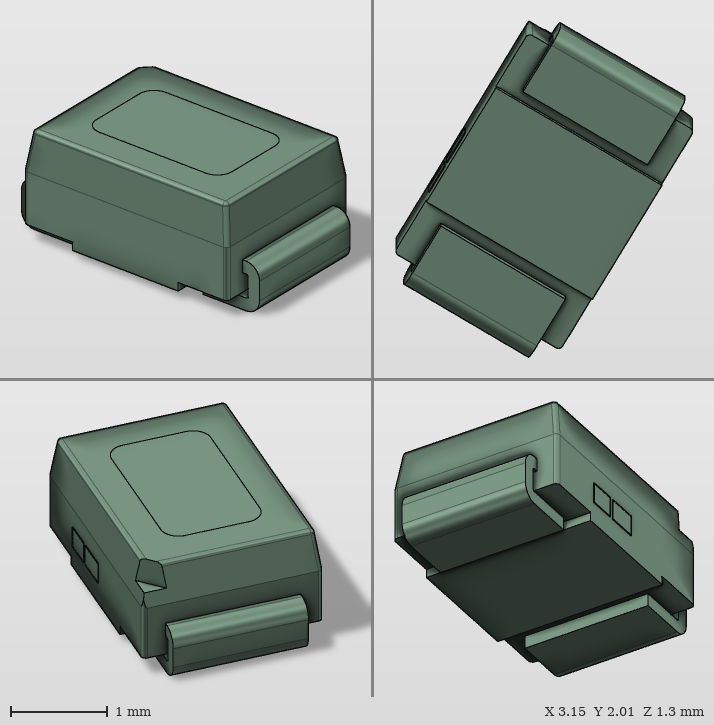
import cadquery as cq

BODY_LENGTH = 2.7
BODY_WIDTH = 2.0
BODY_BOTTOM = 0.202
BODY_TOP = 1.3
TAPER_START = 0.822
TAPER_ANGLE = 8.0
EDGE_RADIUS = 0.05

STANDOFF_LENGTH = 1.4
STANDOFF_BOTTOM = 0.1

NOTCH_LEG = 0.3
NOTCH_FLOOR = 1.002

PAD_SPANS = [(-0.088, 0.277), (0.325, 0.643)]
PAD_BOTTOM = 0.36
PAD_TOP = 0.6
PAD_HEIGHT = 0.01

LENS_LENGTH = 1.795
LENS_WIDTH = 1.1
LENS_CORNER_RADIUS = 0.195

LEAD_SPAN = 3.15
LEAD_WIDTH = 1.5
LEAD_THICKNESS = 0.15
LEAD_TOP = 0.585
LEAD_FOOT = 0.75
LEAD_INNER_RADIUS = 0.025
LEAD_OUTER_RADIUS = LEAD_INNER_RADIUS + LEAD_THICKNESS


def make_upright_block():
    """Straight-sided block of full body height with rounded vertical edges."""
    return (
        cq.Workplane("XY", origin=(0, 0, BODY_BOTTOM))
        .rect(BODY_LENGTH, BODY_WIDTH)
        .extrude(BODY_TOP - BODY_BOTTOM)
        .edges("|Z")
        .fillet(EDGE_RADIUS)
    )


def make_tapered_envelope():
    """Sharp lower block with a tapered top; every top edge but the notched corner is rounded."""
    lower = (
        cq.Workplane("XY", origin=(0, 0, BODY_BOTTOM))
        .rect(BODY_LENGTH, BODY_WIDTH)
        .extrude(TAPER_START - BODY_BOTTOM)
    )
    upper = (
        cq.Workplane("XY", origin=(0, 0, TAPER_START))
        .rect(BODY_LENGTH, BODY_WIDTH)
        .extrude(BODY_TOP - TAPER_START, taper=TAPER_ANGLE)
    )
    notched_corner = (-BODY_LENGTH / 2, BODY_WIDTH / 2, BODY_TOP)
    sloped_corners = upper.edges("not #Z")
    notched_edge = sloped_corners.edges(cq.NearestToPointSelector(notched_corner)).val()
    rounded_edges = [edge for edge in sloped_corners.vals() if not edge.isSame(notched_edge)]
    rounded_edges += upper.faces(">Z").edges().vals()
    return lower.union(upper.newObject(rounded_edges).fillet(EDGE_RADIUS))


def make_notch():
    """Triangular prism that removes the body corner above the notch floor."""
    corner_x = -BODY_LENGTH / 2
    corner_y = BODY_WIDTH / 2
    return (
        cq.Workplane("XY", origin=(0, 0, NOTCH_FLOOR))
        .moveTo(corner_x, corner_y)
        .lineTo(corner_x + NOTCH_LEG, corner_y)
        .lineTo(corner_x, corner_y - NOTCH_LEG)
        .close()
        .extrude(BODY_TOP - NOTCH_FLOOR)
    )


def make_standoff():
    """Block under the middle of the body, across its full width."""
    return (
        cq.Workplane("XY", origin=(0, 0, STANDOFF_BOTTOM))
        .rect(STANDOFF_LENGTH, BODY_WIDTH)
        .extrude(BODY_BOTTOM - STANDOFF_BOTTOM)
    )


def make_pad(first_x, last_x):
    """Thin raised rectangle on the +Y side of the body."""
    return cq.Workplane("XY").box(
        last_x - first_x, PAD_HEIGHT, PAD_TOP - PAD_BOTTOM, centered=False
    ).translate((first_x, BODY_WIDTH / 2, PAD_BOTTOM))


def make_lens():
    """Rounded rectangular lens, from the start of the taper to the top of the body."""
    return (
        cq.Workplane("XY", origin=(0, 0, TAPER_START))
        .rect(LENS_LENGTH, LENS_WIDTH)
        .extrude(BODY_TOP - TAPER_START)
        .edges("|Z")
        .fillet(LENS_CORNER_RADIUS)
    )


def make_body(lens):
    """Package body with the notch, standoff, pads and a matching recess for the lens."""
    body = make_upright_block().intersect(make_tapered_envelope())
    body = body.cut(make_notch()).union(make_standoff())
    for first_x, last_x in PAD_SPANS:
        body = body.union(make_pad(first_x, last_x))
    return body.cut(lens)


def make_lead(turn):
    """C-shaped lead at the -X end, butted against the body, then turned about the Z axis."""
    outer_x = -LEAD_SPAN / 2
    inner_x = outer_x + LEAD_THICKNESS
    body_x = -BODY_LENGTH / 2
    foot_x = outer_x + LEAD_FOOT
    arm_bottom = LEAD_TOP - LEAD_THICKNESS
    lead = (
        cq.Workplane("XZ")
        .moveTo(body_x, LEAD_TOP)
        .lineTo(outer_x, LEAD_TOP)
        .lineTo(outer_x, 0)
        .lineTo(foot_x, 0)
        .lineTo(foot_x, LEAD_THICKNESS)
        .lineTo(inner_x, LEAD_THICKNESS)
        .lineTo(inner_x, arm_bottom)
        .lineTo(body_x, arm_bottom)
        .close()
        .extrude(LEAD_WIDTH / 2, both=True)
    )
    lead = lead.edges("|Y and <X").fillet(LEAD_OUTER_RADIUS)
    inner_bends = cq.selectors.BoxSelector(
        (inner_x - LEAD_INNER_RADIUS, -LEAD_WIDTH, 0),
        (inner_x + LEAD_INNER_RADIUS, LEAD_WIDTH, LEAD_TOP),
    )
    lead = lead.edges("|Y").edges(inner_bends).fillet(LEAD_INNER_RADIUS)
    return lead.rotate((0, 0, 0), (0, 0, 1), turn)


lens = make_lens()
body = make_body(lens)
leads = [make_lead(turn) for turn in (0, 180)]

result = cq.Compound.makeCompound([body.val(), lens.val(), *[lead.val() for lead in leads]])